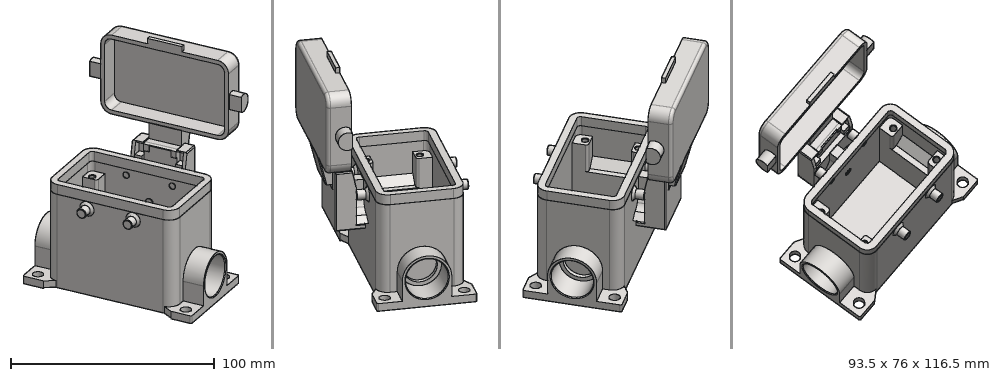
import cadquery as cq
box_length = 71.0
box_width = 44.2
box_top = 57.2
box_bottom = 0.5
box_corner = 6.0
cavity_length = 63.4
cavity_width = 36.1
cavity_corner = 1.9
cavity_undercut = 0.9
band_z = 51.8
band_step = 0.1
floor_thickness = 3.7
half_width = box_width / 2
lower_length = cavity_length + 2 * cavity_undercut
lower_width = cavity_width + 2 * cavity_undercut

block_face_x = 24.5
ledge_depth = 3.1
ledge_z = 30.0
slope_top_z = 34.3
column_top = 45.9
column_face_y = 10.8
column_corner = 1.4
screw_x = 28.5
screw_y = 13.5
screw_hole = 3.0
screw_hole_depth = 17.5
screw_chamfer = 0.3

overall_length = 93.5
flange_width = 50.3
flange_top = 4.2
flange_neck = 70.6
neck_run = 7
neck_rise = 4.2
flange_corner = 0.8
mount_x = 41.0
mount_y = 20.0
mount_hole = 5.6

hub_z = 15.0
hub_radius = 12.5
hub_overlap = 1.2
bore_radius = 10.7
bore_depth = 15.1
bore_chamfer = 0.5
knockout_radius = 8.6
knockout_depth = 2.3

peg_x = 12.8
peg_z = 47.8
peg_radius = 2.6
peg_reach = 28.2
peg_base_radius = 4.0
peg_base_height = 1.4
peg_chamfer = 0.3
wall_overlap = 1.2

boss_top = 51.1
boss_top_half = 2.9
boss_neck_z = 43.0
boss_flare_half = 5.5
boss_flare_z = 37.4
boss_foot_half = 9.9
boss_foot_z = 35.1
boss_flare_bow = 0.5
boss_bottom = 32.3
boss_bottom_half = 14
dimple_depth = 0.5
peg_dimple = 3.4
boss_dimple = 4.0
boss_dimple_z = 35.8

bracket_half = 15.1
bracket_back = 39.0
bracket_front = 28.4
bracket_top_front = 30.3
bracket_taper_z = 53.0
bracket_top = 61.7
bracket_bottom = 30.0
lip_front = 23.9
bracket_corner = 0.6
slot_half = 9.3
slot_floor = 50.3
notch_half = 13.3
notch_bottom = 54.5
notch_top = 61.0
notch_back = 33.8
step_front = 29.1

cover_length = 70.8
cover_bottom = 70.1
cover_top = 113.6
cover_rim = 35.4
cover_back = 47.8
cover_corner = 6.0
cover_wall = 2.2
cover_edge = 1.9
cover_z = (cover_bottom + cover_top) / 2
tab_half = 9.5
tab_top = 116.5
tab_thickness = 2.1
tab_overlap = 1.2
trunnion_half = 42.0
trunnion_radius = 4.8
trunnion_y = 38.8
trunnion_flat_y = 36.3
trunnion_z = 91.7

arm_half = 9.1
arm_front = 36.0
arm_back_top = 47.4
arm_back_bottom = 42.4
arm_bottom = 53.0
arm_edge = 0.6
arm_top = cover_bottom + cover_wall
knuckle_front = 30.4
knuckle_top = 61.3
knuckle_bevel_run = 1.7
knuckle_bevel_drop = 0.5
knuckle_pocket_half = 6.0
knuckle_pocket_top = 60.5
knuckle_pocket_depth = 0.8
shoulder_bottom = 57.1


def span(x0, x1, y0, y1, z0, z1):
    """Rectangular block between two corners."""
    block = cq.Workplane("XY").box(x1 - x0, y1 - y0, z1 - z0, centered=False)
    return block.translate((x0, y0, z0))


def along_x(points, x0, x1):
    """Prism with a (Y, Z) outline from x0 to x1."""
    return cq.Workplane("YZ").workplane(offset=x0).polyline(points).close().extrude(x1 - x0)


def rod_y(x, z, radius, y0, y1):
    """Round rod parallel to Y."""
    return cq.Workplane("XZ", origin=(x, y0, z)).circle(radius).extrude(y0 - y1)


def rounded_block(length, width, corner, z0, z1):
    """Centred block from z0 to z1 with rounded upright edges."""
    block = cq.Workplane("XY").workplane(offset=z0).rect(length, width).extrude(z1 - z0)
    return block.edges("|Z").fillet(corner)


def both_ends(shape):
    """The shape at +X together with its mirror image at -X."""
    return shape.union(shape.mirror("YZ"))


def box_shell():
    lower = rounded_block(box_length, box_width, box_corner, box_bottom, band_z)
    band_length = box_length - 2 * band_step
    band_width = box_width - 2 * band_step
    return lower.union(rounded_block(band_length, band_width, box_corner, band_z, box_top))


def cavity():
    floor_z = box_bottom + floor_thickness
    lower_corner = cavity_corner + cavity_undercut
    lower = rounded_block(lower_length, lower_width, lower_corner, floor_z, band_z)
    space = lower.union(rounded_block(cavity_length, cavity_width, cavity_corner, band_z, box_top))
    return space.cut(both_ends(end_block()))


def end_block():
    """Thick lower wall behind the hub, with two screw columns standing on it."""
    inner_x = block_face_x
    wall_x = lower_length / 2
    half_y = lower_width / 2
    profile = [
        (inner_x, box_bottom),
        (inner_x, ledge_z),
        (inner_x + ledge_depth, ledge_z),
        (wall_x, slope_top_z),
        (wall_x, box_bottom),
    ]
    block = cq.Workplane("XZ", origin=(0, half_y, 0)).polyline(profile).close().extrude(lower_width)
    for y0, y1, inner in ((-half_y, -column_face_y, ">Y"), (column_face_y, half_y, "<Y")):
        column = span(inner_x, wall_x, y0, y1, box_bottom, column_top)
        block = block.union(column.edges("|Z and <X").edges(inner).fillet(column_corner))
    return block


def screw_holes():
    holes = cq.Workplane("XY").workplane(offset=column_top)
    holes = holes.rect(2 * screw_x, 2 * screw_y, forConstruction=True).vertices()
    shafts = holes.circle(screw_hole / 2).extrude(-screw_hole_depth)
    mouths = holes.circle(screw_hole / 2 + screw_chamfer).extrude(-screw_chamfer, taper=45)
    return shafts.union(mouths)


def flange():
    """Mounting foot at +X, reaching under the end of the box."""
    end_x = overall_length / 2
    neck_x = flange_neck / 2
    half_y = flange_width / 2
    neck_y = half_y - neck_rise
    outline = [
        (neck_x - neck_run, -neck_y),
        (neck_x, -half_y),
        (end_x, -half_y),
        (end_x, half_y),
        (neck_x, half_y),
        (neck_x - neck_run, neck_y),
    ]
    plate = cq.Workplane("XY").polyline(outline).close().extrude(flange_top)
    plate = plate.edges("|Z and >X").fillet(flange_corner)
    relief = span(0, neck_x, -half_y, half_y, 0, box_bottom)
    holes = cq.Workplane("XY").pushPoints([(mount_x, mount_y), (mount_x, -mount_y)])
    return plate.cut(relief).cut(holes.circle(mount_hole / 2).extrude(flange_top))


def hub():
    """Arched cable entry at +X."""
    start_x = box_length / 2 - hub_overlap
    length = overall_length / 2 - start_x
    arch = (
        cq.Workplane("YZ", origin=(start_x, 0, 0))
        .moveTo(-hub_radius, 0)
        .lineTo(-hub_radius, hub_z)
        .threePointArc((0, hub_z + hub_radius), (hub_radius, hub_z))
        .lineTo(hub_radius, 0)
        .close()
    )
    return arch.extrude(length)


def hub_bore():
    """Blind bore ending in a smaller round recess."""
    face = cq.Workplane("YZ", origin=(overall_length / 2, 0, hub_z))
    bore = face.circle(bore_radius).extrude(-bore_depth)
    mouth = face.circle(bore_radius + bore_chamfer).extrude(-bore_chamfer, taper=45)
    knockout = face.circle(knockout_radius).extrude(-bore_depth - knockout_depth)
    return bore.union(mouth).union(knockout)


def peg(x, side):
    """Locking peg with a conical base on the front (-1) or back (1) wall."""
    length = peg_reach - half_width
    profile = [
        (0, -wall_overlap),
        (peg_base_radius, -wall_overlap),
        (peg_base_radius, 0),
        (peg_radius, peg_base_height),
        (peg_radius, length - peg_chamfer),
        (peg_radius - peg_chamfer, length),
        (0, length),
    ]
    pin = cq.Workplane("XY").polyline(profile).close().revolve(360, (0, 0, 0), (0, 1, 0))
    pin = pin.translate((x, half_width, peg_z))
    return pin if side > 0 else pin.mirror("XZ")


def hinge_boss():
    """Flared pad between the back wall and the bracket."""
    flare_1_x = (boss_top_half + boss_flare_half) / 2 - boss_flare_bow
    flare_1_z = (boss_neck_z + boss_flare_z) / 2
    flare_2_x = (boss_flare_half + boss_foot_half) / 2 - boss_flare_bow
    flare_2_z = (boss_flare_z + boss_foot_z) / 2 - boss_flare_bow
    half = (
        cq.Workplane("XZ", origin=(0, bracket_front, 0))
        .moveTo(0, boss_top)
        .lineTo(boss_top_half, boss_top)
        .lineTo(boss_top_half, boss_neck_z)
        .threePointArc((flare_1_x, flare_1_z), (boss_flare_half, boss_flare_z))
        .threePointArc((flare_2_x, flare_2_z), (boss_foot_half, boss_foot_z))
        .lineTo(boss_bottom_half, boss_bottom)
        .lineTo(0, boss_bottom)
        .close()
    )
    return both_ends(half.extrude(bracket_front - half_width + wall_overlap))


def dimples():
    """Shallow recesses inside the back wall, behind the pegs and the boss."""
    wall_y = lower_width / 2
    spots = rod_y(0, boss_dimple_z, boss_dimple / 2, 0, wall_y + dimple_depth)
    for x in (-peg_x, peg_x):
        spots = spots.union(rod_y(x, peg_z, peg_dimple / 2, 0, wall_y + dimple_depth))
    return spots


def bracket():
    """Hinge bracket with two prongs and a lip under the boss."""
    profile = [
        (bracket_back, bracket_bottom),
        (bracket_back, bracket_top),
        (bracket_top_front, bracket_top),
        (bracket_front, bracket_taper_z),
        (bracket_front, boss_bottom),
        (lip_front, boss_bottom),
        (lip_front, bracket_bottom),
    ]
    body = along_x(profile, -bracket_half, bracket_half)
    body = body.edges("(|Y and >Z) or (|Y and <Z) or (|Z and >Y)").chamfer(bracket_corner)
    slot = span(-slot_half, slot_half, bracket_front, bracket_back, slot_floor, bracket_top)
    notch = span(-notch_half, notch_half, bracket_front, notch_back, notch_bottom, notch_top)
    step = span(-notch_half, notch_half, bracket_front, step_front, slot_floor, notch_top)
    return body.cut(slot).cut(notch).cut(step)


def make_housing():
    body = box_shell().union(both_ends(flange())).union(both_ends(hub()))
    for x in (-peg_x, peg_x):
        for side in (-1, 1):
            body = body.union(peg(x, side))
    body = body.union(hinge_boss()).union(bracket())
    body = body.cut(cavity()).cut(screw_holes()).cut(both_ends(hub_bore()))
    return body.cut(dimples())


def cover_shell():
    """Rounded cover block and the space inside it."""
    height = cover_top - cover_bottom
    depth = cover_back - cover_rim
    front = cq.Workplane("XZ", origin=(0, cover_rim, cover_z))
    shell = front.rect(cover_length, height).extrude(-depth)
    shell = shell.edges("|Y").fillet(cover_corner).faces(">Y").edges().fillet(cover_edge)
    inside = front.rect(cover_length - 2 * cover_wall, height - 2 * cover_wall)
    inside = inside.extrude(cover_wall - depth).edges("|Y").fillet(cover_corner - cover_wall)
    return shell, inside


def trunnions():
    """Round bar with a flat, sticking out at both ends of the cover."""
    bar = cq.Workplane("YZ", origin=(-trunnion_half, trunnion_y, trunnion_z))
    bar = bar.circle(trunnion_radius).extrude(2 * trunnion_half)
    keep = span(
        -trunnion_half,
        trunnion_half,
        trunnion_flat_y,
        trunnion_y + trunnion_radius,
        trunnion_z - trunnion_radius,
        trunnion_z + trunnion_radius,
    )
    return bar.intersect(keep)


def hinge_arm():
    """Tapered arm below the cover, with a knuckle between the bracket prongs."""
    arm_profile = [
        (arm_front, arm_top),
        (arm_back_top, arm_top),
        (arm_back_bottom, arm_bottom),
        (arm_front, arm_bottom),
    ]
    knuckle_profile = [
        (bracket_back, arm_bottom),
        (bracket_back, slot_floor),
        (knuckle_front, slot_floor),
        (knuckle_front, knuckle_top - knuckle_bevel_drop),
        (knuckle_front + knuckle_bevel_run, knuckle_top),
        (arm_front, knuckle_top),
        (arm_front, arm_bottom),
    ]
    arm = along_x(arm_profile, -arm_half, arm_half)
    arm = arm.edges("not(|X or |Y or |Z)").chamfer(arm_edge)
    knuckle = along_x(knuckle_profile, -arm_half, arm_half)
    pocket = span(
        -knuckle_pocket_half,
        knuckle_pocket_half,
        knuckle_front,
        knuckle_front + knuckle_pocket_depth,
        slot_floor,
        knuckle_pocket_top,
    )
    undercut = span(
        -arm_half,
        arm_half,
        knuckle_front,
        knuckle_front + knuckle_pocket_depth,
        slot_floor,
        shoulder_bottom,
    )
    return arm.union(knuckle.cut(pocket).cut(undercut))


def make_cover():
    shell, inside = cover_shell()
    tab_bottom = cover_top - tab_overlap
    tab = span(-tab_half, tab_half, cover_rim, cover_rim + tab_thickness, tab_bottom, tab_top)
    return shell.union(trunnions()).union(tab).union(hinge_arm()).cut(inside)


housing = make_housing()
cover = make_cover()
result = cq.Compound.makeCompound([housing.val(), cover.val()])